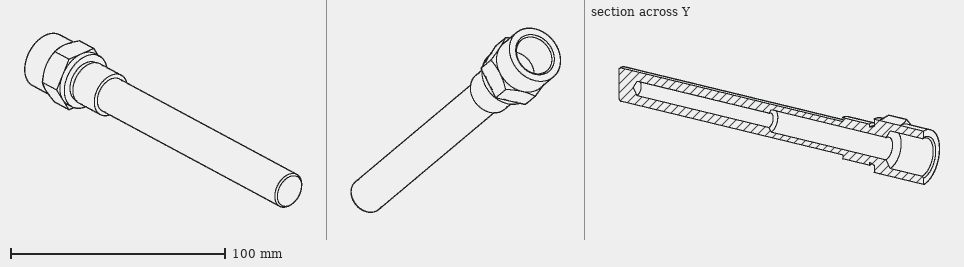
import cadquery as cq
import math

length = 170.0
head_end = 13.0
hex_bevel_length = 1.7
hex_end = 24.6
flange_end = 27.7
collar_start = 30.3
collar_end = 45.2
tip_chamfer = 0.8

head_diameter = 27.0
hex_across_flats = head_diameter
hex_across_corners = hex_across_flats / math.cos(math.pi / 6)
neck_large_diameter = 19.9
neck_small_diameter = 18.0
collar_diameter = 20.9
stem_diameter = 17.0

mouth_diameter = 20.4
socket_diameter = 18.7
socket_depth = 18.7
upper_bore_diameter = 11.0
upper_bore_depth = 85.0
lower_bore_diameter = 7.0
lower_bore_depth = 159.8
cone_half_angle = 59.0

x_start = -length / 2


def revolve_profile(profile):
    """Revolve (distance from open end, diameter) points around the X axis."""
    outline = [(x_start + station, diameter / 2) for station, diameter in profile]
    closed = [(outline[0][0], 0)] + outline + [(outline[-1][0], 0)]
    if outline[-1][1] == 0:
        closed.pop()
    return cq.Workplane("XY").polyline(closed).close().revolve(360, (0, 0, 0), (1, 0, 0))


def cone_length(large_diameter, small_diameter):
    """Axial length of a drill-point cone between two diameters."""
    return (large_diameter - small_diameter) / 2 / math.tan(math.radians(cone_half_angle))


def turned_body():
    return revolve_profile([
        (0, head_diameter),
        (flange_end, head_diameter),
        (flange_end, neck_large_diameter),
        (collar_start, neck_small_diameter),
        (collar_start, collar_diameter),
        (collar_end, collar_diameter),
        (collar_end, stem_diameter),
        (length - tip_chamfer, stem_diameter),
        (length, stem_diameter - 2 * tip_chamfer),
    ])


def wrench_hex():
    """Hexagon with corners on Y, bevelled on the side facing the head."""
    prism = (
        cq.Workplane("YZ", origin=(x_start + head_end, 0, 0))
        .polygon(6, hex_across_corners)
        .extrude(hex_end - head_end)
    )
    bevel_envelope = revolve_profile([
        (head_end, head_diameter),
        (head_end + hex_bevel_length, hex_across_corners),
        (hex_end, hex_across_corners),
    ])
    return prism.intersect(bevel_envelope)


def stepped_bore():
    mouth_chamfer = (mouth_diameter - socket_diameter) / 2
    socket_cone = cone_length(socket_diameter, upper_bore_diameter)
    upper_cone = cone_length(upper_bore_diameter, lower_bore_diameter)
    tip_cone = cone_length(lower_bore_diameter, 0)
    return revolve_profile([
        (0, mouth_diameter),
        (mouth_chamfer, socket_diameter),
        (socket_depth, socket_diameter),
        (socket_depth + socket_cone, upper_bore_diameter),
        (upper_bore_depth, upper_bore_diameter),
        (upper_bore_depth + upper_cone, lower_bore_diameter),
        (lower_bore_depth, lower_bore_diameter),
        (lower_bore_depth + tip_cone, 0),
    ])


result = turned_body().union(wrench_hex()).cut(stepped_bore())